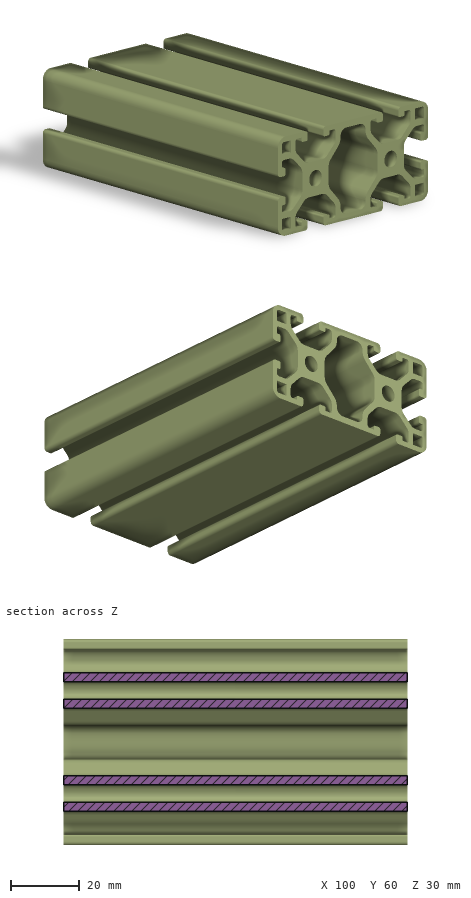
import cadquery as cq

length = 100.0
module = 30.0
half_module = module / 2
width = 2 * module
height = module
edge_tolerance = 0.01
module_centres = (-half_module, half_module)
corner_radius = 3.0
bore_diameter = 5.0

slot_half_opening = 3.1
lip_width = 2.5
lip_depth = 3.0
skin = 1.6
cavity_half_width = 8.0
core_half_width = 5.25
floor_half_width = 3.85
floor_radius = 3.0
cavity_wall_end = 9.5
lip_radius = 1.0
lip_tip_radius = 0.5
cavity_corner_radius = 0.8
cavity_bend_radius = 2.5

hollow_inner = 9.7
hollow_outer = half_module - skin
hollow_radius = 0.8

flange_thickness = 2.0
centre_wall_half_width = 5.0
centre_waist_half_width = half_module - core_half_width
centre_waist_half_height = 3.7
centre_wall_half_height = 9.0
centre_corner_radius = 2.2
centre_bend_radius = 4.0
centre_waist_radius = 3.0


def extruded(outline):
    """Prism along X from a closed list of (y, z) points, centred on the origin."""
    return cq.Workplane("YZ").polyline(outline).close().extrude(length / 2, both=True)


def edges_at(solid, points):
    """Lengthwise edges of a prism that run through the given (y, z) points."""

    def is_wanted(edge):
        middle = edge.Center()
        return any(abs(middle.y - y) + abs(middle.z - z) < edge_tolerance for y, z in points)

    return solid.edges("|X").filter(is_wanted)


def both_sides(y, z):
    """A point and its mirror image across the vertical centre plane."""
    return [(y, z), (-y, z)]


def all_quadrants(y, z):
    """A point mirrored across both centre planes."""
    return both_sides(y, z) + both_sides(y, -z)


def slot_cutter():
    """T-slot opening upwards, for a module centred on the origin."""
    lip_end = slot_half_opening + lip_width
    lip_bottom = half_module - lip_depth
    under_skin = half_module - skin
    right_side = [
        (floor_half_width, core_half_width),
        (cavity_half_width, cavity_wall_end),
        (cavity_half_width, under_skin),
        (lip_end, under_skin),
        (lip_end, lip_bottom),
        (slot_half_opening, lip_bottom),
        (slot_half_opening, half_module),
    ]
    left_side = [(-y, z) for y, z in reversed(right_side)]
    cutter = extruded(right_side + left_side)
    cavity_corners = both_sides(cavity_half_width, under_skin)
    lip_tips = both_sides(slot_half_opening, lip_bottom) + both_sides(lip_end, lip_bottom)
    floor_ends = both_sides(floor_half_width, core_half_width)
    wall_bends = both_sides(cavity_half_width, cavity_wall_end)
    cutter = edges_at(cutter, cavity_corners).fillet(cavity_corner_radius)
    cutter = edges_at(cutter, lip_tips).fillet(lip_tip_radius)
    cutter = edges_at(cutter, floor_ends).fillet(floor_radius)
    return edges_at(cutter, wall_bends).fillet(cavity_bend_radius)


def centre_cutter():
    """Hollow between the two cores, narrowing towards the flanges."""
    roof = half_module - flange_thickness
    upper_right = [
        (centre_waist_half_width, centre_waist_half_height),
        (centre_wall_half_width, centre_wall_half_height),
        (centre_wall_half_width, roof),
    ]
    upper = upper_right + [(-y, z) for y, z in reversed(upper_right)]
    cutter = extruded(upper + [(-y, -z) for y, z in upper])
    roof_corners = all_quadrants(centre_wall_half_width, roof)
    bends = all_quadrants(centre_wall_half_width, centre_wall_half_height)
    waist = all_quadrants(centre_waist_half_width, centre_waist_half_height)
    cutter = edges_at(cutter, roof_corners).fillet(centre_corner_radius)
    cutter = edges_at(cutter, waist).fillet(centre_waist_radius)
    return edges_at(cutter, bends).fillet(centre_bend_radius)


def corner_cutter(y_side, z_side):
    """Square hollow in one outer corner, rounded at its outermost edge."""
    size = hollow_outer - hollow_inner
    middle = (hollow_inner + hollow_outer) / 2
    y_middle = y_side * (half_module + middle)
    cutter = cq.Workplane("XY").box(length, size, size).translate((0, y_middle, z_side * middle))
    outermost = [(y_side * (half_module + hollow_outer), z_side * hollow_outer)]
    return edges_at(cutter, outermost).fillet(hollow_radius)


def bore_cutter(centre):
    """Round bore through the core of one module."""
    return cq.Workplane("YZ").center(centre, 0).circle(bore_diameter / 2).extrude(length / 2, both=True)


def cut_slots(body):
    """Slots on the top and bottom of each module and on its outer side, with rounded mouths."""
    slot = slot_cutter()
    mouth_edges = []
    for centre in module_centres:
        outward_turn = -90 if centre > 0 else 90
        for turn in (0, 180, outward_turn):
            turned_slot = slot.rotate((0, 0, 0), (1, 0, 0), turn)
            body = body.cut(turned_slot.translate((0, centre, 0)))
        outer_face = 2 * centre
        for side in (-slot_half_opening, slot_half_opening):
            mouth_edges.append((centre + side, half_module))
            mouth_edges.append((centre + side, -half_module))
            mouth_edges.append((outer_face, side))
    return edges_at(body, mouth_edges).fillet(lip_radius)


profile = cq.Workplane("XY").box(length, width, height).edges("|X").fillet(corner_radius)
profile = cut_slots(profile)
profile = profile.cut(centre_cutter())
for y_side in (-1, 1):
    for z_side in (-1, 1):
        profile = profile.cut(corner_cutter(y_side, z_side))
for module_centre in module_centres:
    profile = profile.cut(bore_cutter(module_centre))

result = profile